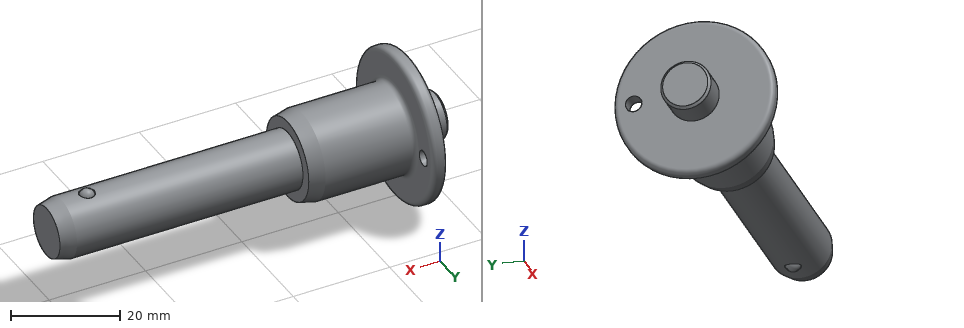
import cadquery as cq

total_length = 81.0
flange_start = 6.0
flange_thickness = 3.0
handle_end = 31.0
flange_end = flange_start + flange_thickness

button_radius = 4.8
button_chamfer = 0.5

flange_radius = 15.3
flange_rim_fillet = 1.0
lanyard_hole_radius = 1.5
lanyard_hole_offset = 11.5

handle_radius = 9.0
handle_end_radius = 8.3
handle_root_fillet = 1.0

shank_radius = 6.0
shank_tip_radius = 5.2
taper_length = 3.15

ball_radius = 1.5
ball_protrusion = 0.8
ball_setback = 8.35
ball_sides = (1, -1)
ball_x = total_length - ball_setback
ball_center_height = shank_radius + ball_protrusion - ball_radius


def axial_cylinder(start, end, radius):
    """Solid cylinder on the X axis between two stations."""
    return cq.Workplane("YZ", origin=(start, 0, 0)).circle(radius).extrude(end - start)


def tapered_cylinder(start, end, radius, end_radius):
    """Cylinder on the X axis whose +X end narrows conically to end_radius."""
    profile = [
        (start, 0),
        (start, radius),
        (end - taper_length, radius),
        (end, end_radius),
        (end, 0),
    ]
    return cq.Workplane("XY").polyline(profile).close().revolve(360, (0, 0, 0), (1, 0, 0))


def root_fillet():
    """Concave ring that blends the handle barrel into the flange."""
    outer_radius = handle_radius + handle_root_fillet
    fillet_end = flange_end + handle_root_fillet
    return (
        cq.Workplane("XY")
        .moveTo(flange_end, 0)
        .lineTo(flange_end, outer_radius)
        .radiusArc((fillet_end, handle_radius), -handle_root_fillet)
        .lineTo(fillet_end, 0)
        .close()
        .revolve(360, (0, 0, 0), (1, 0, 0))
    )


def ball_pocket(side):
    """Round-bottomed radial hole that opens through the shank wall."""
    depth_to_center = shank_radius - ball_center_height
    clear_length = depth_to_center + ball_radius
    bore = (
        cq.Workplane("XY", origin=(ball_x, 0, side * ball_center_height))
        .circle(ball_radius)
        .extrude(side * clear_length)
    )
    return bore.union(make_ball(side))


def make_ball(side):
    """Locking ball on the +Z (side = 1) or -Z (side = -1) face of the shank."""
    return cq.Workplane("XY", origin=(ball_x, 0, side * ball_center_height)).sphere(ball_radius)


def make_pin_body():
    """Push button, flange, handle and shank in one piece."""
    button = axial_cylinder(0, flange_start, button_radius).faces("<X").chamfer(button_chamfer)
    flange = axial_cylinder(flange_start, flange_end, flange_radius).edges().fillet(flange_rim_fillet)
    handle = tapered_cylinder(flange_end, handle_end, handle_radius, handle_end_radius)
    shank = tapered_cylinder(handle_end, total_length, shank_radius, shank_tip_radius)
    body = flange.union(button).union(root_fillet()).union(handle).union(shank)

    lanyard_hole = (
        cq.Workplane("YZ", origin=(flange_start, lanyard_hole_offset, 0))
        .circle(lanyard_hole_radius)
        .extrude(flange_thickness)
    )
    body = body.cut(lanyard_hole)
    for side in ball_sides:
        body = body.cut(ball_pocket(side))
    return body


pin_body = make_pin_body()
balls = [make_ball(side) for side in ball_sides]

result = cq.Compound.makeCompound([pin_body.solids().val(), *[ball.val() for ball in balls]])